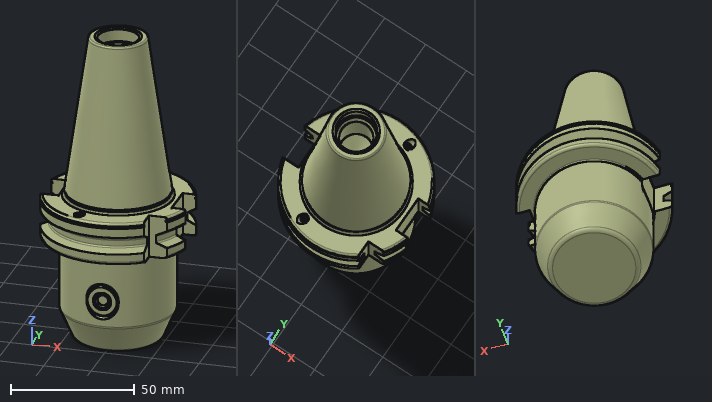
import cadquery as cq
import math

total_height = 131.4
flange_bottom = 43.9
flange_top = 62.0
nose_shoulder = 12.9

taper_ratio = 7 / 24
taper_top_radius = 12.2
taper_base = 64.1
taper_base_radius = taper_top_radius + (total_height - taper_base) * taper_ratio / 2
taper_rim_fillet = 0.8

undercut_radius = 21.5
undercut_top = 63.5
undercut_bottom = 63.0
undercut_foot_radius = 22.2
undercut_foot = 62.5
undercut_rim_radius = 23.0

flange_radius = 31.8
flange_top_fillet = 1.0
flange_bottom_fillet = 1.3
mark_groove_z = 60.3
mark_groove_depth = 0.5
mark_groove_half_width = 0.5
gripper_groove_radius = 28.1
gripper_groove_fillet = 0.8
gripper_floor_bottom = 50.3
gripper_floor_top = 53.6
gripper_mouth_bottom = 48.5
gripper_mouth_top = 55.8

body_radius = 24.0
nose_radius = 18.4
nose_fillet = 2.2
shoulder_fillet = 2.0
neck_fillet = 0.7

slot_width = 16.2
left_slot_floor = 22.9
right_slot_floor = 25.0
slot_end_z = 35.7
notch_corner_x = 18.4
notch_corner_y = -18.4

bore_radius = 8.5
bore_mouth_radius = 9.6
bore_mouth_depth = 0.5
bore_depth = 5.7
bore_step_radius = 8.3
bore_step_start_depth = 6.2
bore_step_depth = 7.8
thread_radius = 7.0
thread_start_depth = 9.3
thread_depth = 26.3
drill_point_half_angle = 59

plug_circle_radius = 27.0
plug_direction = 70
plug_radius = 2.0
plug_tilt = 40
plug_recess_depth = 1.6
plug_socket_radius = 1.0
plug_socket_depth = 1.3

screw_z = 24.2
countersink_radius = 7.8
screw_radius = 6.8
screw_face_radius = 6.2
screw_rim_y = -23.0
screw_face_y = -23.8
socket_mouth_radius = 3.8
socket_radius = 3.0
socket_floor_radius = 2.2
socket_chamfer_depth = 0.4
socket_depth = 1.3


def revolve_profile(points):
    """Revolve a closed (radius, z) outline around Z."""
    return cq.Workplane("XZ").polyline(points).close().revolve(360, (0, 0, 0), (0, 1, 0))


def make_nose():
    """Cylindrical body with a rounded tapered nose, flaring into the flange underside."""
    body = (
        cq.Workplane("XZ")
        .lineTo(nose_radius, 0)
        .lineTo(body_radius, nose_shoulder)
        .lineTo(body_radius, flange_bottom - neck_fillet)
        .radiusArc((body_radius + neck_fillet, flange_bottom), neck_fillet)
        .lineTo(0, flange_bottom)
        .close()
        .revolve(360, (0, 0, 0), (0, 1, 0))
    )
    body = body.faces("<Z").edges().fillet(nose_fillet)
    shoulder_level = cq.selectors.BoxSelector(
        (-body_radius, -body_radius, nose_shoulder - shoulder_fillet / 2),
        (body_radius, body_radius, nose_shoulder + shoulder_fillet / 2),
    )
    return body.edges("%CIRCLE").edges(shoulder_level).fillet(shoulder_fillet)


def make_flange():
    """Flange disc with its gripper V-groove and the shallow marking groove."""
    disc = cq.Workplane("XY").workplane(offset=flange_bottom).circle(flange_radius)
    disc = disc.extrude(flange_top - flange_bottom)
    disc = disc.faces(">Z").edges().fillet(flange_top_fillet)
    disc = disc.faces("<Z").edges().fillet(flange_bottom_fillet)
    gripper_groove = revolve_profile([
        (flange_radius, gripper_mouth_bottom),
        (gripper_groove_radius, gripper_floor_bottom),
        (gripper_groove_radius, gripper_floor_top),
        (flange_radius, gripper_mouth_top),
    ])
    floor_edges = cq.selectors.RadiusNthSelector(0)
    gripper_groove = gripper_groove.edges(floor_edges).fillet(gripper_groove_fillet)
    mark_groove = revolve_profile([
        (flange_radius, mark_groove_z - mark_groove_half_width),
        (flange_radius - mark_groove_depth, mark_groove_z),
        (flange_radius, mark_groove_z + mark_groove_half_width),
    ])
    return disc.cut(gripper_groove).cut(mark_groove)


def make_shank():
    """Steep taper with the undercut at its large end."""
    shank = revolve_profile([
        (0, flange_bottom),
        (undercut_radius, flange_bottom),
        (undercut_rim_radius, flange_top),
        (undercut_foot_radius, undercut_foot),
        (undercut_radius, undercut_bottom),
        (undercut_radius, undercut_top),
        (taper_base_radius, taper_base),
        (taper_top_radius, total_height),
        (0, total_height),
    ])
    return shank.faces(">Z").edges().fillet(taper_rim_fillet)


def make_bore():
    """Counterbored, threaded-size blind hole with a drill point."""
    tip_length = thread_radius / math.tan(math.radians(drill_point_half_angle))
    return revolve_profile([
        (0, total_height),
        (bore_mouth_radius, total_height),
        (bore_radius, total_height - bore_mouth_depth),
        (bore_radius, total_height - bore_depth),
        (bore_step_radius, total_height - bore_step_start_depth),
        (bore_step_radius, total_height - bore_step_depth),
        (thread_radius, total_height - thread_start_depth),
        (thread_radius, total_height - thread_depth),
        (0, total_height - thread_depth - tip_length),
    ])


def make_drive_slot(side, floor_distance):
    """Round-ended slot open at the flange top; side is -1 for -X, +1 for +X."""
    slot_radius = slot_width / 2
    arc_centre_z = slot_end_z + slot_radius
    outline = (
        cq.Workplane("YZ", origin=(side * floor_distance, 0, 0))
        .moveTo(-slot_radius, flange_top)
        .lineTo(-slot_radius, arc_centre_z)
        .threePointArc((0, slot_end_z), (slot_radius, arc_centre_z))
        .lineTo(slot_radius, flange_top)
        .close()
    )
    return outline.extrude(side * flange_radius)


def make_notch():
    """Square corner notch through the full flange thickness."""
    flange_thickness = flange_top - flange_bottom
    notch = cq.Workplane("XY").box(flange_radius, flange_radius, flange_thickness, centered=False)
    return notch.translate((notch_corner_x, notch_corner_y - flange_radius, flange_bottom))


def make_plug_recess(direction):
    """Blind recess and socket in the flange face, leaning toward the axis."""
    angle = math.radians(direction)
    tilt = math.radians(plug_tilt)
    outward = cq.Vector(math.cos(angle), math.sin(angle), 0)
    axis = cq.Vector(0, 0, -math.cos(tilt)) - outward * math.sin(tilt)
    mouth = outward * plug_circle_radius + cq.Vector(0, 0, flange_top)
    lead = 2 * plug_radius
    recess = cq.Solid.makeCylinder(plug_radius, plug_recess_depth + lead, mouth - axis * lead, axis)
    socket = cq.Solid.makeCylinder(
        plug_socket_radius, plug_recess_depth + plug_socket_depth, mouth, axis
    )
    return cq.Workplane(recess).union(cq.Workplane(socket))


def make_screw_cone(front_y, front_radius, back_y, back_radius):
    """Solid cone frustum on the clamping screw axis, which runs along Y."""
    return cq.Workplane(cq.Solid.makeCone(
        front_radius, back_radius, back_y - front_y,
        cq.Vector(0, front_y, screw_z), cq.Vector(0, 1, 0),
    ))


def add_clamping_screw(part):
    """Countersink the body around the chamfered screw end and sink the screw's socket."""
    countersink = make_screw_cone(-body_radius, countersink_radius, screw_rim_y, screw_radius)
    screw_end = make_screw_cone(screw_face_y, screw_face_radius, screw_rim_y, screw_radius)
    socket_step_y = screw_face_y + socket_chamfer_depth
    socket_floor_y = screw_face_y + socket_depth
    socket_mouth = make_screw_cone(screw_face_y, socket_mouth_radius, socket_step_y, socket_radius)
    socket = make_screw_cone(socket_step_y, socket_radius, socket_floor_y, socket_floor_radius)
    return part.cut(countersink).union(screw_end).cut(socket_mouth).cut(socket)


result = make_nose().union(make_flange()).union(make_shank())
result = result.cut(make_bore())
result = result.cut(make_drive_slot(-1, left_slot_floor))
result = result.cut(make_drive_slot(1, right_slot_floor))
result = result.cut(make_notch())
for direction in (plug_direction, plug_direction + 180):
    result = result.cut(make_plug_recess(direction))
result = add_clamping_screw(result)